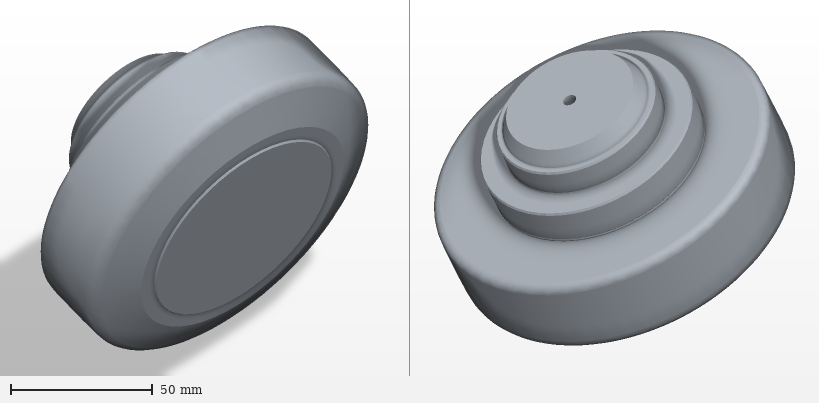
import cadquery as cq
import math

width = 67.8
x_start = -width / 2

pin_start = 5.7
collar_start = 16.2
ring_joint = 29.4
tyre_start = 30.2
tyre_end = 67.1

nose_tip_radius = 24.0
nose_base_radius = 27.4
pin_radius = 60.0 / 2
ring_radius = 80.0 / 2
tyre_radius = 63.4
grease_hole_diameter = 5.0
grease_hole_depth = 12.7

edge_chamfer = 0.8
edge_drop = 0.5
joint_chamfer = 0.4
root_bevel = 0.4
end_chamfer = 0.5

crown_radius = 499.5
tread_middle = 45.1
front_round = 3.0
back_round = 5.0
back_shoulder = 60.7
back_cone_angle = 70.0


def tread_height(x):
    """Radius of the crowned tread at axial position x."""
    sagitta = crown_radius - math.sqrt(crown_radius**2 - (x - tread_middle) ** 2)
    return tyre_radius - sagitta


def make_stepped_core():
    """Nose cone, pin, collar and inner ring as one revolved body."""
    return (
        cq.Workplane("XY")
        .moveTo(0, 0)
        .lineTo(0, nose_tip_radius)
        .lineTo(pin_start, nose_base_radius)
        .lineTo(pin_start, pin_radius - edge_drop)
        .lineTo(pin_start + edge_chamfer, pin_radius)
        .lineTo(collar_start - root_bevel, pin_radius)
        .lineTo(collar_start, pin_radius + root_bevel)
        .lineTo(collar_start, ring_radius - edge_drop)
        .lineTo(collar_start + edge_chamfer, ring_radius)
        .lineTo(ring_joint - joint_chamfer, ring_radius)
        .lineTo(ring_joint, ring_radius - joint_chamfer)
        .lineTo(ring_joint + joint_chamfer, ring_radius)
        .lineTo(width - end_chamfer, ring_radius)
        .lineTo(width, ring_radius - end_chamfer)
        .lineTo(width, 0)
        .close()
        .revolve(360, (0, 0, 0), (1, 0, 0))
    )


def make_tyre():
    """Crowned outer tyre with both tread edges rounded."""
    shoulder_radius = tread_height(back_shoulder)
    cone_drop = (tyre_end - back_shoulder) * math.tan(math.radians(back_cone_angle))
    tyre = (
        cq.Workplane("XY")
        .moveTo(tyre_start, 0)
        .lineTo(tyre_start, tread_height(tyre_start))
        .threePointArc((tread_middle, tyre_radius), (back_shoulder, shoulder_radius))
        .lineTo(tyre_end, shoulder_radius - cone_drop)
        .lineTo(tyre_end, 0)
        .close()
        .revolve(360, (0, 0, 0), (1, 0, 0))
    )

    def tread_edge(x):
        reach = 0.1
        outer = tyre_radius + reach
        low = (x - reach, -outer, -outer)
        high = (x + reach, outer, outer)
        return cq.selectors.BoxSelector(low, high, boundingbox=True)

    tyre = tyre.edges(tread_edge(tyre_start)).fillet(front_round)
    return tyre.edges(tread_edge(back_shoulder)).fillet(back_round)


def make_grease_hole():
    """Blind flat-bottomed axial hole in the nose."""
    return cq.Workplane("YZ").circle(grease_hole_diameter / 2).extrude(grease_hole_depth)


roller = make_stepped_core().union(make_tyre()).cut(make_grease_hole())
result = roller.translate((x_start, 0, 0))